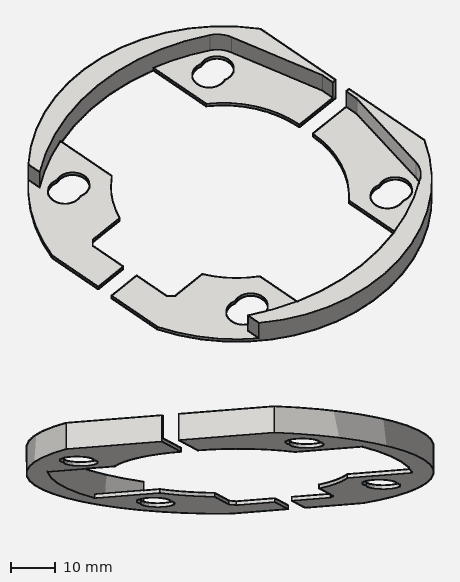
import cadquery as cq

total_height = 6.0
floor_thickness = 0.9

cut_x = 2.0
outer_radius = 43.6
back_y = 37.1
front_y = -41.3

wall_arc_radius = 52.4
wall_inner_reach = 40.0
wall_arc_center_x = wall_inner_reach - wall_arc_radius
back_wall_y = 36.1
back_wall_bend_x = 5.2
back_wall_slope = 0.23
wall_corner_radius = 6.4
right_wall_end_y = -28.5
left_wall_end_y = -28.1

bore_radius = 25.1
back_tab_edge_y = 15.7
front_tab_edge_y = -14.6

notch_width = 10.5
notch_floor_y = -33.0
notch_chamfer = 1.3

hole_x = 27.0
hole_y = 23.8
hole_diameter = 7.6
hole_spacing = 2.55


def box_between(x_min, x_max, y_min, y_max, height):
    """Box standing on Z = 0 between the given X and Y limits."""
    return (
        cq.Workplane("XY")
        .box(x_max - x_min, y_max - y_min, height, centered=False)
        .translate((x_min, y_min, 0))
    )


def cylinder(x, y, radius, height):
    """Vertical cylinder standing on Z = 0."""
    return cq.Workplane("XY").center(x, y).circle(radius).extrude(height)


def outer_blank():
    """Solid right half with its rounded side and its back and front flats."""
    disc = cylinder(cut_x, 0, outer_radius, total_height)
    limits = box_between(cut_x, cut_x + outer_radius, front_y, back_y, total_height)
    return disc.intersect(limits)


def wall_arc_disc():
    """Cylinder whose side is the curved inside face of the wall."""
    return cylinder(wall_arc_center_x, 0, wall_arc_radius, total_height)


def wall_pocket():
    """Space enclosed by the wall, above the floor."""
    far_x = outer_radius
    far_y = back_wall_y - back_wall_slope * (far_x - back_wall_bend_x)
    enclosed = (
        cq.Workplane("XY")
        .moveTo(cut_x, front_y)
        .lineTo(far_x, front_y)
        .lineTo(far_x, far_y)
        .lineTo(back_wall_bend_x, back_wall_y)
        .lineTo(cut_x, back_wall_y)
        .close()
        .extrude(total_height)
    )
    pocket = enclosed.intersect(wall_arc_disc())
    corner = cq.selectors.BoxSelector(
        (hole_x, hole_y, 0), (far_x, back_wall_y, total_height)
    )
    pocket = pocket.edges("|Z").edges(corner).fillet(wall_corner_radius)
    return pocket.translate((0, 0, floor_thickness))


def wall_end_cut(wall_end_y):
    """Space above the floor in front of the end of the wall."""
    space = box_between(cut_x, cut_x + outer_radius, front_y, wall_end_y, total_height)
    return space.translate((0, 0, floor_thickness))


def tab_gap():
    """Opening through the floor between the back and front tabs."""
    slab = box_between(
        cut_x, outer_radius, front_tab_edge_y, back_tab_edge_y, total_height
    )
    return slab.intersect(wall_arc_disc())


def notch():
    """Notch beside the cut, with its inner corner chamfered."""
    block = box_between(cut_x, cut_x + notch_width, notch_floor_y, 0, total_height)
    return block.edges("|Z and >X and <Y").chamfer(notch_chamfer)


def adjusting_hole(center_y):
    """Hole shaped by two overlapping circles in line along Y."""
    back = cylinder(hole_x, center_y + hole_spacing / 2, hole_diameter / 2, total_height)
    front = cylinder(hole_x, center_y - hole_spacing / 2, hole_diameter / 2, total_height)
    return back.union(front)


def half_ring(wall_end_y):
    """Half ring on the +X side, its wall ending at wall_end_y."""
    body = outer_blank()
    body = body.cut(wall_pocket())
    body = body.cut(wall_end_cut(wall_end_y))
    body = body.cut(tab_gap())
    body = body.cut(cylinder(cut_x, 0, bore_radius, total_height))
    body = body.cut(notch())
    for center_y in (hole_y, -hole_y):
        body = body.cut(adjusting_hole(center_y))
    return body


right_half = half_ring(right_wall_end_y)
left_half = half_ring(left_wall_end_y).mirror("YZ")

result = cq.Compound.makeCompound([right_half.solids().val(), left_half.solids().val()])